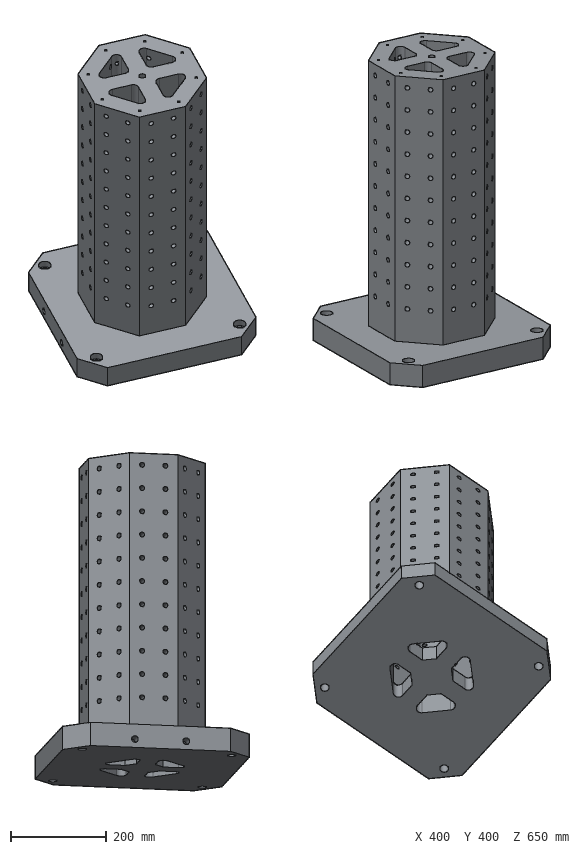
import cadquery as cq
import math

BASE_SIDE = 400.0
BASE_HEIGHT = 50.0
BASE_CORNER_CHAMFER = 50.0
MOUNT_OFFSET = 160.0
MOUNT_DIAMETER = 18.0
MOUNT_BORE_DIAMETER = 26.0
MOUNT_BORE_DEPTH = 15.0
SIDE_HOLE_DIAMETER = 14.0
SIDE_HOLE_DEPTH = 35.0
SIDE_HOLE_OFFSET = 55.0
SIDE_HOLE_Z = 18.0

TOTAL_HEIGHT = 650.0
COLUMN_WIDTH = 250.0
WALL = 40.0
LID_THICKNESS = 60.0
FACES = 8
FACE_ANGLE = 360.0 / FACES
LID_BOTTOM_Z = TOTAL_HEIGHT - LID_THICKNESS
INNER_APOTHEM = COLUMN_WIDTH / 2 - WALL

GRID_DIAMETER = 10.11
GRID_DEPTH = 41.0
GRID_PITCH = 50.0
GRID_ROWS = 11
GRID_TOP_Z = TOTAL_HEIGHT - GRID_PITCH / 2

WEB_THICKNESS = 40.0
WINDOW_FILLET = 11.0
CORE_REACH = 61.0

LID_HOLE_DIAMETER = 5.0
LID_HOLE_DEPTH = 15.0
LID_HOLE_APOTHEM = 105.0
CENTER_HOLE_DIAMETER = 13.84
CENTER_HOLE_DEPTH = 30.0
DRILL_POINT_ANGLE = 118.0


def octagon(apothem, bottom, top):
    """Upright regular octagonal prism with flats facing the X and Y axes."""
    diameter = 2 * apothem / math.cos(math.pi / FACES)
    prism = cq.Workplane("XY").polygon(FACES, diameter).extrude(top - bottom)
    return prism.rotate((0, 0, 0), (0, 0, 1), FACE_ANGLE / 2).translate((0, 0, bottom))


def drilled_hole(diameter, depth, start, direction):
    """Blind hole with a conical drill point past its full-diameter depth."""
    radius = diameter / 2
    tip = radius / math.tan(math.radians(DRILL_POINT_ANGLE / 2))
    start = cq.Vector(*start)
    direction = cq.Vector(*direction)
    barrel = cq.Solid.makeCylinder(radius, depth, start, direction)
    point = cq.Solid.makeCone(radius, 0, tip, start + direction * depth, direction)
    return barrel.fuse(point)


def base_plate():
    """Square plate with cut corners, counterbored mounting holes and two side holes."""
    plate = cq.Workplane("XY").box(BASE_SIDE, BASE_SIDE, BASE_HEIGHT, centered=(True, True, False))
    plate = plate.edges("|Z").chamfer(BASE_CORNER_CHAMFER)
    plate = (
        plate.faces(">Z").workplane()
        .rect(2 * MOUNT_OFFSET, 2 * MOUNT_OFFSET, forConstruction=True).vertices()
        .cboreHole(MOUNT_DIAMETER, MOUNT_BORE_DIAMETER, MOUNT_BORE_DEPTH)
    )
    for x in (-SIDE_HOLE_OFFSET, SIDE_HOLE_OFFSET):
        entry = (x, -BASE_SIDE / 2, SIDE_HOLE_Z)
        plate = plate.cut(drilled_hole(SIDE_HOLE_DIAMETER, SIDE_HOLE_DEPTH, entry, (0, 1, 0)))
    return plate


def windows(bottom, top):
    """Four filleted triangular openings, one in each quadrant."""
    near = WEB_THICKNESS / 2
    far = INNER_APOTHEM * math.sqrt(2) - near
    window = (
        cq.Workplane("XY").workplane(offset=bottom)
        .polyline([(near, near), (far, near), (near, far)]).close()
        .extrude(top - bottom)
        .edges("|Z").fillet(WINDOW_FILLET)
    )
    openings = cq.Workplane("XY")
    for quadrant in range(4):
        openings = openings.add(window.rotate((0, 0, 0), (0, 0, 1), 90 * quadrant))
    return openings.combine()


def core(bottom, top):
    """Square core set on its corners, widening the crossing of the webs."""
    return (
        cq.Workplane("XY").workplane(offset=bottom)
        .polygon(4, 2 * CORE_REACH).extrude(top - bottom)
    )


def face_holes():
    """Grid of drilled holes breaking through the wall of every column face."""
    holes = []
    for face in range(FACES):
        for row in range(GRID_ROWS):
            z = GRID_TOP_Z - row * GRID_PITCH
            for y in (-GRID_PITCH / 2, GRID_PITCH / 2):
                entry = (COLUMN_WIDTH / 2, y, z)
                hole = drilled_hole(GRID_DIAMETER, GRID_DEPTH, entry, (-1, 0, 0))
                holes.append(hole.rotate(cq.Vector(0, 0, 0), cq.Vector(0, 0, 1), face * FACE_ANGLE))
    return cq.Workplane(cq.Compound.makeCompound(holes))


def lid_holes():
    """Blind holes in the top face, one inside each corner of the octagon."""
    radius = LID_HOLE_APOTHEM / math.cos(math.pi / FACES)
    holes = []
    for corner in range(FACES):
        angle = math.radians((corner + 0.5) * FACE_ANGLE)
        entry = (radius * math.cos(angle), radius * math.sin(angle), TOTAL_HEIGHT)
        holes.append(drilled_hole(LID_HOLE_DIAMETER, LID_HOLE_DEPTH, entry, (0, 0, -1)))
    return cq.Workplane(cq.Compound.makeCompound(holes))


def column():
    """Hollow octagonal column closed by the windowed lid."""
    body = octagon(COLUMN_WIDTH / 2, BASE_HEIGHT, TOTAL_HEIGHT)
    body = body.cut(octagon(INNER_APOTHEM, BASE_HEIGHT, LID_BOTTOM_Z))
    body = body.cut(windows(LID_BOTTOM_Z, TOTAL_HEIGHT))
    body = body.cut(face_holes()).cut(lid_holes())
    center_entry = (0, 0, TOTAL_HEIGHT)
    return body.cut(drilled_hole(CENTER_HOLE_DIAMETER, CENTER_HOLE_DEPTH, center_entry, (0, 0, -1)))


base_openings = windows(0, BASE_HEIGHT).cut(core(0, BASE_HEIGHT))
result = base_plate().cut(base_openings).union(column())